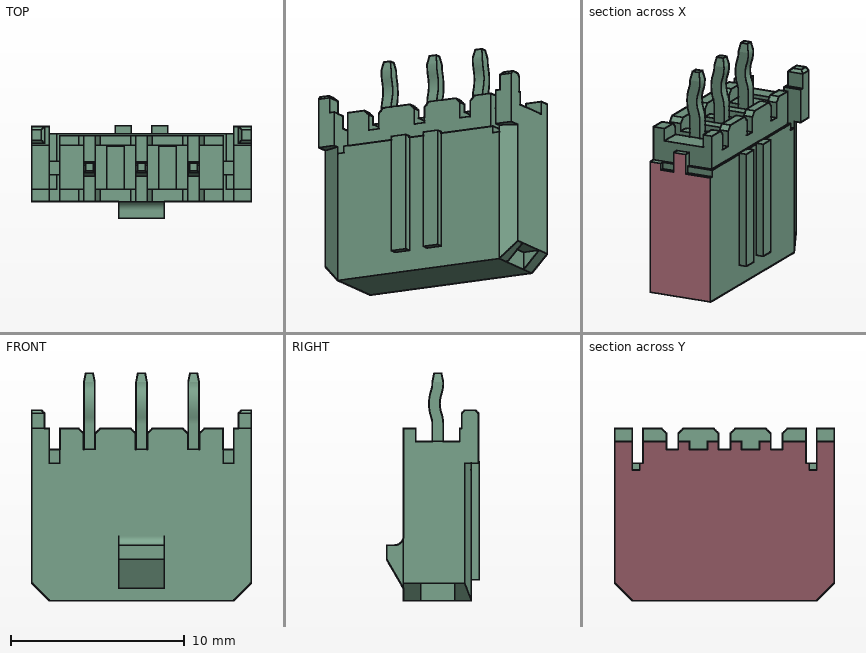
import cadquery as cq
import math


length = 12.65
half_length = length / 2
back_y = 3.92
wall_top = 9.92
floor_z = 9.17
front_wall_y = 0.72
back_wall_y = 3.24
back_wall_depth = 0.56
ledge_y = back_wall_y + back_wall_depth
corner = 1.02
notch_front, notch_back = 1.0, 2.96
back_bevel = 0.39

end_block = corner
slot_width = 0.6
slot_floor = 7.93
slot_outer_x = half_length - end_block
slot_inner_x = slot_outer_x - slot_width
bridge_front, bridge_back = 1.53, 2.32
well_width = 0.42
well_depth = 0.39

pitch = 3.0
pin_x = [-pitch, 0, pitch]
pin_slot_width = 0.67
pin_slot_floor = 8.71
pin_slot_chamfer = 0.29
pin_size = 0.64
pin_y = 1.98
pin_root = slot_floor
pin_top = 13.1
tip_height = 0.51
tip_inset = 0.1
sway = 0.2
sway_z = 11.35
end_bend_radius = 1.41
mid_bend_radius = 2.06

groove_width = 1.02
groove_x = [-pitch / 2, pitch / 2]
groove_back = 3.2

ear_back = 4.32
ear_top = 10.98
post_front = 3.35
post_width = 0.75
post_chamfer = 0.18

rib_width = 0.94
rib_x = [-1.05, 1.05]
rib_back = 4.38
rib_bottom = 1.2
rib_top = 7.99

latch_width = 2.65
latch_reach = 0.97
latch_bottom = 0.71
latch_nose = 2.38
latch_top = 3.21
latch_fillet = 0.5


def block(x, y, z):
    """Box from (low, high) pairs along each axis."""
    size = [high - low for low, high in (x, y, z)]
    return cq.Workplane("XY").box(*size, centered=False).translate((x[0], y[0], z[0]))


def centred(x, width):
    """(low, high) pair of the given width centred on x."""
    return (x - width / 2, x + width / 2)


def both_ends(shape):
    """The shape together with its mirror image at the other end of the row."""
    return shape.union(shape.mirror("YZ"))


def make_body():
    body = block((-half_length, half_length), (0, back_y), (0, wall_top))
    bevel = (
        cq.Workplane("XY")
        .moveTo(-half_length, back_y)
        .lineTo(-half_length, back_y - back_bevel)
        .lineTo(-slot_outer_x, back_y)
        .close()
        .extrude(wall_top)
    )
    chamfer = (
        cq.Workplane("XZ")
        .moveTo(-half_length, 0)
        .lineTo(-half_length, corner)
        .lineTo(-slot_outer_x, 0)
        .close()
        .extrude(-back_y)
    )
    notch = block((-half_length, -slot_outer_x), (notch_front, notch_back), (0, corner))
    return body.cut(both_ends(bevel)).cut(both_ends(chamfer.union(notch)))


def make_ear():
    """Left ear: a base behind the end block carrying a chamfered post."""
    ear_x = (-half_length, -slot_outer_x)
    base = block(ear_x, (back_wall_y, ear_back), (slot_floor, wall_top))
    post_x = (-half_length, -half_length + post_width)
    post = block(post_x, (post_front, ear_back), (slot_floor, ear_top))
    post = post.faces(">Z").edges("not <X").chamfer(post_chamfer)
    return base.union(post)


def make_end_slot():
    """Cut for the left slot, leaving a bridge and opening wells beside it."""
    slot = block((-slot_outer_x, -slot_inner_x), (0, back_y), (slot_floor, wall_top))
    bridge_y = (bridge_front, bridge_back)
    bridge = block((-slot_outer_x, -slot_inner_x), bridge_y, (slot_floor, pin_slot_floor))
    well_x = (-slot_outer_x, -slot_outer_x + well_width)
    well = block(well_x, (front_wall_y, back_y), (slot_floor - well_depth, slot_floor))
    pillar = block(well_x, bridge_y, (slot_floor - well_depth, slot_floor))
    return slot.cut(bridge).union(well.cut(pillar))


def make_pin_slot(x):
    """Cut across both walls with chamfered top edges."""
    half = pin_slot_width / 2
    shoulder = wall_top - pin_slot_chamfer
    return (
        cq.Workplane("XZ")
        .moveTo(x - half, pin_slot_floor)
        .lineTo(x - half, shoulder)
        .lineTo(x - half - pin_slot_chamfer, wall_top)
        .lineTo(x + half + pin_slot_chamfer, wall_top)
        .lineTo(x + half, shoulder)
        .lineTo(x + half, pin_slot_floor)
        .close()
        .extrude(-back_y)
    )


def pin_side_points(offset):
    """Points up one face of the bent pin, offset in +Y from its centre line.

    In order: start, a point on the lower end arc, its join with the middle arc, the middle,
    then the first three mirrored about the middle.
    """
    bend = math.acos(1 - sway / (end_bend_radius + mid_bend_radius))
    end_radius = end_bend_radius + offset
    mid_radius = mid_bend_radius - offset
    end_centre_y = pin_y - end_bend_radius
    end_centre_z = sway_z - (end_bend_radius + mid_bend_radius) * math.sin(bend)
    lower = []
    for angle in (0, bend / 2, bend):
        y = end_centre_y + end_radius * math.cos(angle)
        z = end_centre_z + end_radius * math.sin(angle)
        lower.append((y, z))
    middle = (pin_y + offset - sway, sway_z)
    upper = [(y, 2 * sway_z - z) for y, z in reversed(lower)]
    return lower + [middle] + upper


def bent_edge(profile, points):
    """Continue a profile with a straight to the bend and its three tangent arcs."""
    start, first_arc, first_join, middle, last_join, last_arc, end = points
    return (
        profile.lineTo(*start)
        .threePointArc(first_arc, first_join)
        .threePointArc(middle, last_join)
        .threePointArc(last_arc, end)
    )


def make_pin(x):
    """Square pin with a bend towards -Y and a tapered tip, rooted inside the housing."""
    half = pin_size / 2
    shoulder = pin_top - tip_height
    profile = cq.Workplane("YZ").moveTo(pin_y + half, pin_root)
    profile = bent_edge(profile, pin_side_points(half))
    profile = profile.lineTo(pin_y + half, shoulder).lineTo(pin_y - half, shoulder)
    profile = bent_edge(profile, list(reversed(pin_side_points(-half))))
    shaft = profile.lineTo(pin_y - half, pin_root).close().extrude(half, both=True)
    tip_size = pin_size - 2 * tip_inset
    tip = (
        cq.Workplane("XY", origin=(0, pin_y, shoulder))
        .rect(pin_size, pin_size)
        .workplane(offset=tip_height)
        .rect(tip_size, tip_size)
        .loft()
    )
    return shaft.union(tip).translate((x, 0, 0))


def make_latch():
    return (
        cq.Workplane("YZ")
        .moveTo(0, latch_bottom)
        .lineTo(-latch_reach, latch_nose)
        .lineTo(-latch_reach, latch_top)
        .lineTo(-latch_fillet, latch_top)
        .radiusArc((0, latch_top + latch_fillet), -latch_fillet)
        .close()
        .extrude(latch_width / 2, both=True)
    )


result = make_body().union(both_ends(make_ear())).union(make_latch())
for x in rib_x:
    result = result.union(block(centred(x, rib_width), (ledge_y, rib_back), (rib_bottom, rib_top)))

full_x = (-half_length, half_length)
result = result.cut(block(full_x, (front_wall_y, back_wall_y), (floor_z, wall_top)))
middle_x = (-slot_outer_x, slot_outer_x)
result = result.cut(block(middle_x, (ledge_y, back_y), (slot_floor, wall_top)))
result = result.cut(both_ends(make_end_slot()))
for x in pin_x:
    result = result.cut(make_pin_slot(x))
for x in groove_x:
    groove_z = (pin_slot_floor, floor_z)
    result = result.cut(block(centred(x, groove_width), (front_wall_y, groove_back), groove_z))

for x in pin_x:
    result = result.union(make_pin(x))